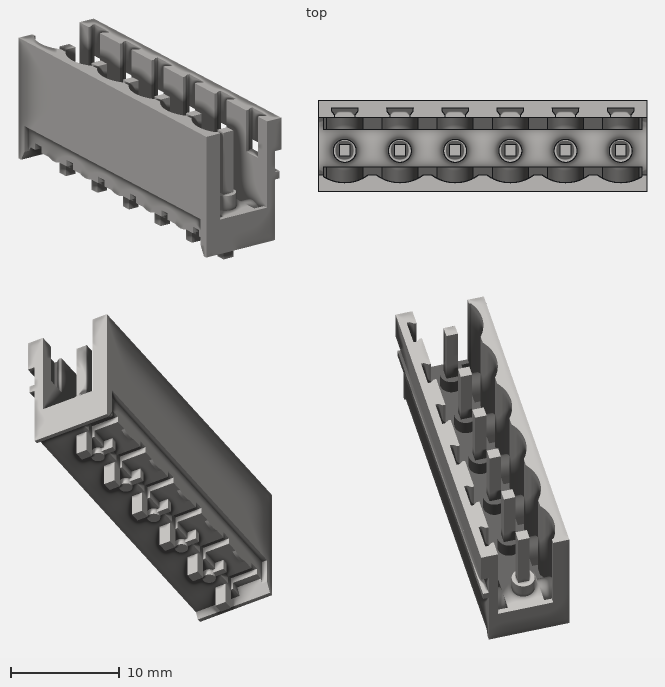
import cadquery as cq


PIN_COUNT = 6
PITCH = 5.1
PIN_X = 1.0
PIN_Y = 1.1
PIN_TOP = 11.0
PIN_TAIL = 1.55
ROW_Y = 3.82
PIN_FRONT_Y = ROW_Y - PIN_Y / 2
PIN_XS = [(i - (PIN_COUNT - 1) / 2) * PITCH for i in range(PIN_COUNT)]
BETWEEN_XS = [x + PITCH / 2 for x in PIN_XS[:-1]]

LENGTH = 30.28
HEIGHT = 11.95
DEPTH = 8.42
REAR_FACE_Y = 7.7
LIP_BOTTOM = 8.8
FLOOR_TOP = 3.42
CHANNEL_FRONT_Y = 1.55
CHANNEL_REAR_Y = 6.8
END_WALL = 0.48
CAVITY_LENGTH = LENGTH - 2 * END_WALL

RAIL_BOTTOM = 6.0
RAIL_TOP = 6.72
RAIL_REAR_Y = 8.25

COLLAR_DIAMETER = 2.12
COLLAR_Y = 3.75
COLLAR_TOP = 4.88

SCALLOP_HALF_CHORD = 2.18
SCALLOP_SAG = 0.73

FLOOR_FRONT_Y = 2.27
FLOOR_REAR_Y = 5.72
TROUGH_BOTTOM = 2.05
HUMP_ARC_HALF = 1.27
HUMP_SAG = 0.73
HUMP_HALF = 1.67

DOVETAIL_MOUTH = 1.88
DOVETAIL_BACK = 2.42
DOVETAIL_NECK = 0.25
DOVETAIL_EDGE = 0.27
DOVETAIL_BOTTOM = 7.87

RECESS_INSET = 0.95
RECESS_DEPTH = 0.5
RECESS_TOP = 3.5
FOOT_WIDTH = 0.4
FOOT_SLOPE = 0.57
FRONT_CEILING = 1.35
REAR_CEILING = 0.65
STEP_Y = 3.03
PIN_SLOT_TOP = 2.0
STANDOFF_DIAMETER = 1.2
RIB_WIDTH = 0.58
RIB_BOTTOM = 0.27
RIB_FRONT_Y = 2.12
BUMP_HALF = 0.88
BUMP_SAG = 0.18
PANEL_THICKNESS = CHANNEL_FRONT_Y - SCALLOP_SAG - RECESS_DEPTH


def block(length, y0, y1, z0, z1, x=0.0):
    """Box centred on x, between two Y and two Z levels."""
    plane = cq.Workplane("XY", origin=(x, y0, z0))
    return plane.box(length, y1 - y0, z1 - z0, centered=(True, False, False))


def shell():
    """U-shaped profile with a rear lip and rail, extruded along X."""
    body = block(LENGTH, 0, REAR_FACE_Y, 0, HEIGHT)
    body = body.union(block(LENGTH, REAR_FACE_Y, DEPTH, LIP_BOTTOM, HEIGHT))
    body = body.union(block(LENGTH, REAR_FACE_Y, RAIL_REAR_Y, RAIL_BOTTOM, RAIL_TOP))
    return body.cut(block(LENGTH, CHANNEL_FRONT_Y, CHANNEL_REAR_Y, FLOOR_TOP, HEIGHT))


def scallop(x):
    """Shallow round relief in the inner face of the front wall, cut short at the end walls."""
    cutter = (
        cq.Workplane("XY")
        .workplane(offset=TROUGH_BOTTOM)
        .moveTo(x - SCALLOP_HALF_CHORD, CHANNEL_FRONT_Y)
        .threePointArc((x, CHANNEL_FRONT_Y - SCALLOP_SAG), (x + SCALLOP_HALF_CHORD, CHANNEL_FRONT_Y))
        .lineTo(x + SCALLOP_HALF_CHORD, FLOOR_FRONT_Y)
        .lineTo(x - SCALLOP_HALF_CHORD, FLOOR_FRONT_Y)
        .close()
        .extrude(HEIGHT - TROUGH_BOTTOM)
    )
    return cutter.intersect(block(CAVITY_LENGTH, 0, DEPTH, 0, HEIGHT))


def hump(x):
    """Round-topped ridge with sloping flanks that runs through both troughs."""
    shoulder = FLOOR_TOP - HUMP_SAG
    return (
        cq.Workplane("XZ")
        .moveTo(x - HUMP_HALF, TROUGH_BOTTOM)
        .lineTo(x - HUMP_ARC_HALF, shoulder)
        .threePointArc((x, FLOOR_TOP), (x + HUMP_ARC_HALF, shoulder))
        .lineTo(x + HUMP_HALF, TROUGH_BOTTOM)
        .close()
        .extrude(-CHANNEL_REAR_Y)
    )


def floor_cavity():
    """Scallops and the two troughs as one cutter, with the humps left standing."""
    cavity = block(CAVITY_LENGTH, CHANNEL_FRONT_Y, FLOOR_FRONT_Y, TROUGH_BOTTOM, FLOOR_TOP)
    for x in PIN_XS:
        cavity = cavity.union(scallop(x))
    cavity = cavity.union(block(CAVITY_LENGTH, FLOOR_REAR_Y, CHANNEL_REAR_Y, TROUGH_BOTTOM, FLOOR_TOP))
    for x in PIN_XS:
        cavity = cavity.cut(hump(x))
    return cavity


def dovetail(x):
    """Dovetail slot, open at the top; it breaks through the rear wall below the lip."""
    return (
        cq.Workplane("XY")
        .workplane(offset=DOVETAIL_BOTTOM)
        .moveTo(x - DOVETAIL_MOUTH / 2, CHANNEL_REAR_Y)
        .lineTo(x - DOVETAIL_MOUTH / 2, CHANNEL_REAR_Y + DOVETAIL_NECK)
        .lineTo(x - DOVETAIL_BACK / 2, REAR_FACE_Y - DOVETAIL_EDGE)
        .lineTo(x - DOVETAIL_BACK / 2, REAR_FACE_Y)
        .lineTo(x + DOVETAIL_BACK / 2, REAR_FACE_Y)
        .lineTo(x + DOVETAIL_BACK / 2, REAR_FACE_Y - DOVETAIL_EDGE)
        .lineTo(x + DOVETAIL_MOUTH / 2, CHANNEL_REAR_Y + DOVETAIL_NECK)
        .lineTo(x + DOVETAIL_MOUTH / 2, CHANNEL_REAR_Y)
        .close()
        .extrude(HEIGHT - DOVETAIL_BOTTOM)
    )


def underside_gap(ceiling, y0, y1):
    """Space under the housing between the two tapered end feet."""
    low = LENGTH / 2 - FOOT_WIDTH
    high = low - FOOT_SLOPE * ceiling
    return (
        cq.Workplane("XZ", origin=(0, y0, 0))
        .polyline([(-low, 0), (low, 0), (high, ceiling), (-high, ceiling)])
        .close()
        .extrude(y0 - y1)
    )


def edge_bump(x):
    """Rounded sag of the front wall's lower edge between two contacts."""
    return (
        cq.Workplane("XZ", origin=(0, RECESS_DEPTH, 0))
        .moveTo(x - BUMP_HALF, FRONT_CEILING)
        .threePointArc((x, FRONT_CEILING - BUMP_SAG), (x + BUMP_HALF, FRONT_CEILING))
        .close()
        .extrude(-PANEL_THICKNESS)
    )


def standoff(x):
    """Round foot under the rear ceiling with a rib in front of it."""
    foot = cq.Workplane("XY").center(x, ROW_Y).circle(STANDOFF_DIAMETER / 2).extrude(REAR_CEILING)
    return foot.union(block(RIB_WIDTH, RIB_FRONT_Y, ROW_Y, RIB_BOTTOM, FRONT_CEILING, x))


def pin(x):
    """Straight rectangular contact."""
    return block(PIN_X, PIN_FRONT_Y, PIN_FRONT_Y + PIN_Y, -PIN_TAIL, PIN_TOP, x)


def make_housing():
    """Housing with collars, slots, standoffs and a fitted hole for each contact."""
    body = shell().cut(floor_cavity())
    body = body.cut(block(LENGTH - 2 * RECESS_INSET, 0, RECESS_DEPTH, 0, RECESS_TOP))
    body = body.cut(underside_gap(FRONT_CEILING, 0, STEP_Y))
    body = body.cut(underside_gap(REAR_CEILING, STEP_Y, DEPTH))
    for x in BETWEEN_XS:
        body = body.union(edge_bump(x)).union(standoff(x))
    for x in PIN_XS:
        collar = cq.Workplane("XY", origin=(x, COLLAR_Y, FLOOR_TOP)).circle(COLLAR_DIAMETER / 2)
        body = body.union(collar.extrude(COLLAR_TOP - FLOOR_TOP))
        body = body.cut(dovetail(x))
        body = body.cut(block(PIN_X, 0, PIN_FRONT_Y, 0, PIN_SLOT_TOP, x))
        body = body.cut(pin(x))
    return body


housing = make_housing()
pins = [pin(x) for x in PIN_XS]
result = cq.Compound.makeCompound([housing.val(), *[p.val() for p in pins]])